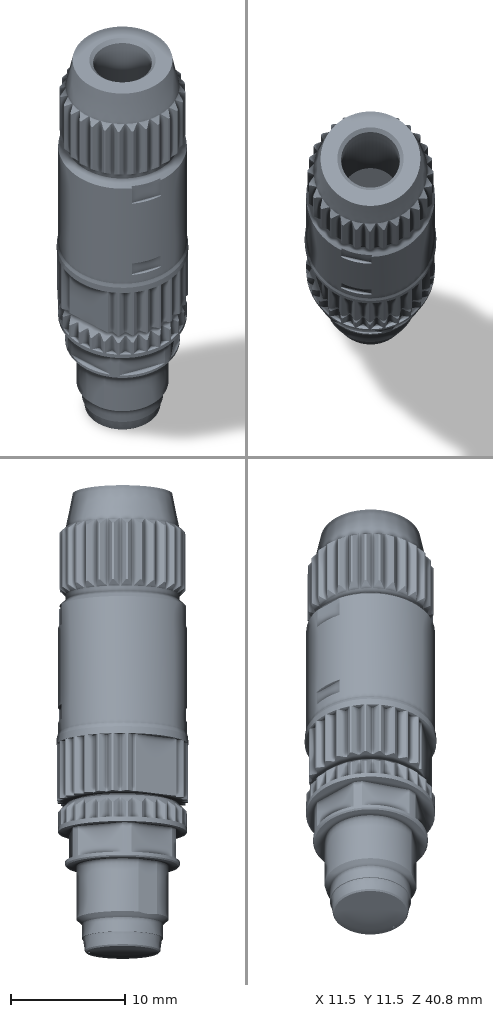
import cadquery as cq
import math

TOP_Z = 40.8
GRIP_TOP_Z = 37.8
GRIP_BOTTOM_Z = 31.8
NECK_BOTTOM_Z = 31.35
COLLAR_TOP_Z = 30.72
UPPER_SEAM_Z = 28.9
LOWER_SEAM_Z = 21.83
BODY_BOTTOM_Z = 19.5
FLANGE_BOTTOM_Z = 18.52
RING_BOTTOM_Z = 13.45
NUT_TOP_Z = 13.2
NUT_TEETH_BOTTOM_Z = 11.15
NUT_BOTTOM_Z = 10.75
HEX_BOTTOM_Z = 8.1
DISK_BOTTOM_Z = 7.7
BARREL_BOTTOM_Z = 3.0
TIP_TOP_Z = 2.55
TIP_STEP_Z = 1.3
TIP_BOTTOM_Z = 0.1

MOUTH_RADIUS = 4.35
NECK_RADIUS = 4.98
GRIP_RADIUS = 5.5
BODY_RADIUS = 5.65
RING_RADIUS = 5.75
INNER_NECK_RADIUS = 4.3
NUT_ROOT_RADIUS = 5.2
RING_ROOT_RADIUS = 5.25
DISK_RADIUS = 5.0
BARREL_RADIUS = 4.05
TIP_RADIUS = 3.55
TIP_CONE_RADIUS = 3.45
TIP_END_RADIUS = 3.3

GRIP_CHAMFER_HEIGHT = 0.5
FLANGE_CONE_HEIGHT = 0.35
NUT_CHAMFER = 0.75
DISK_CHAMFER = 0.12
TIP_CHAMFER = 0.12

TOOTH_COUNT = 28
TOOTH_LAND = 0.15
ROOT_LAND = 0.12
TOOTH_PHASE = 1.8

BORE_RADIUS = 2.55
BORE_CHAMFER = 0.33
BORE_DEPTH = TOP_Z - COLLAR_TOP_Z

RING_FLAT_DISTANCE = 5.0
BARREL_FLAT_DISTANCE = 3.9
HEX_FLAT_DISTANCE = 4.53

WINDOW_ANGLES = (-30, 150)
WINDOW_WIDTH = 2.75
WINDOW_FLOOR_DISTANCE = 5.35
WINDOW_OVERRUN = 0.12
UPPER_WINDOW_TOP_Z = COLLAR_TOP_Z + WINDOW_OVERRUN
LOWER_WINDOW_HEIGHT = 1.35

CLEARANCE = 0.4

NUB_X = 2.5
NUB_Y = -1.5
NUB_RADIUS = 0.1


def revolved(outline):
    """Solid of revolution about Z from (radius, height) points; both ends close on the axis."""
    closed = [(0, outline[0][1])] + outline + [(0, outline[-1][1])]
    return cq.Workplane("XZ").polyline(closed).close().revolve(360, (0, 0, 0), (0, 1, 0))


def toothed_prism(root_radius, tip_radius, bottom_z, top_z):
    """Prism with narrow tooth lands and roots; the first root lies at the tooth phase from +X."""
    pitch = 2 * math.pi / TOOTH_COUNT
    half_land = TOOTH_LAND / 2 / tip_radius
    half_root = ROOT_LAND / 2 / root_radius
    points = []
    for tooth in range(TOOTH_COUNT):
        root = tooth * pitch + math.radians(TOOTH_PHASE)
        tip = root + pitch / 2
        for radius, angle in (
            (root_radius, root - half_root),
            (root_radius, root + half_root),
            (tip_radius, tip - half_land),
            (tip_radius, tip + half_land),
        ):
            points.append((radius * math.cos(angle), radius * math.sin(angle)))
    base = cq.Workplane("XY").workplane(offset=bottom_z)
    return base.polyline(points).close().extrude(top_z - bottom_z)


def block_across_y(flat_distance, bottom_z, top_z):
    """Block that keeps what lies between two flats facing -Y and +Y."""
    height = top_z - bottom_z
    block = cq.Workplane("XY").box(2 * (RING_RADIUS + CLEARANCE), 2 * flat_distance, height)
    return block.translate((0, 0, (bottom_z + top_z) / 2))


def grip():
    """Knurled cable gland nut with chamfered tooth ends."""
    envelope = revolved([
        (NECK_RADIUS, GRIP_TOP_Z),
        (GRIP_RADIUS, GRIP_TOP_Z - GRIP_CHAMFER_HEIGHT),
        (GRIP_RADIUS, GRIP_BOTTOM_Z + GRIP_CHAMFER_HEIGHT),
        (NECK_RADIUS, GRIP_BOTTOM_Z),
    ])
    return envelope.intersect(toothed_prism(NECK_RADIUS, GRIP_RADIUS, GRIP_BOTTOM_Z, GRIP_TOP_Z))


def body():
    """Plain housing: mouth cone, neck, sleeve and flange."""
    return revolved([
        (MOUTH_RADIUS, TOP_Z),
        (NECK_RADIUS, GRIP_TOP_Z),
        (NECK_RADIUS, NECK_BOTTOM_Z),
        (BODY_RADIUS, COLLAR_TOP_Z),
        (BODY_RADIUS, BODY_BOTTOM_Z),
        (RING_RADIUS, BODY_BOTTOM_Z - FLANGE_CONE_HEIGHT),
        (RING_RADIUS, FLANGE_BOTTOM_Z),
    ])


def windows():
    """Shallow flat-floored recesses above and below the sleeve seams, on opposite sides."""
    spans = (
        (UPPER_SEAM_Z, UPPER_WINDOW_TOP_Z),
        (LOWER_SEAM_Z - LOWER_WINDOW_HEIGHT, LOWER_SEAM_Z),
    )
    depth = BODY_RADIUS - WINDOW_FLOOR_DISTANCE + CLEARANCE
    cutters = cq.Workplane("XY")
    for bottom_z, top_z in spans:
        center = (WINDOW_FLOOR_DISTANCE + depth / 2, 0, (bottom_z + top_z) / 2)
        cutter = cq.Workplane("XY").box(depth, WINDOW_WIDTH, top_z - bottom_z).translate(center)
        for angle in WINDOW_ANGLES:
            cutters = cutters.add(cutter.rotate((0, 0, 0), (0, 0, 1), angle))
    return cutters.combine()


def knurled_ring():
    """Toothed ring under the flange, with flats facing -Y and +Y."""
    ring = toothed_prism(RING_ROOT_RADIUS, RING_RADIUS, RING_BOTTOM_Z, FLANGE_BOTTOM_Z)
    return ring.intersect(block_across_y(RING_FLAT_DISTANCE, RING_BOTTOM_Z, FLANGE_BOTTOM_Z))


def coupling_nut():
    """Toothed nut with a chamfered upper edge, standing on a plain rim."""
    envelope = revolved([
        (BODY_RADIUS - NUT_CHAMFER, NUT_TOP_Z),
        (BODY_RADIUS, NUT_TOP_Z - NUT_CHAMFER),
        (BODY_RADIUS, NUT_TEETH_BOTTOM_Z),
    ])
    teeth = envelope.intersect(
        toothed_prism(NUT_ROOT_RADIUS, BODY_RADIUS, NUT_TEETH_BOTTOM_Z, NUT_TOP_Z)
    )
    rim = revolved([(BODY_RADIUS, NUT_TEETH_BOTTOM_Z), (BODY_RADIUS, NUT_BOTTOM_Z)])
    neck = revolved([(INNER_NECK_RADIUS, RING_BOTTOM_Z), (INNER_NECK_RADIUS, NUT_TOP_Z)])
    return teeth.union(rim).union(neck)


def hexagon():
    """Hexagon with flats facing -Y and +Y, its corners turned down to the disk below."""
    across_corners = 2 * HEX_FLAT_DISTANCE / math.cos(math.pi / 6)
    height = NUT_BOTTOM_Z - HEX_BOTTOM_Z
    base = cq.Workplane("XY").workplane(offset=HEX_BOTTOM_Z)
    turned = revolved([(DISK_RADIUS, NUT_BOTTOM_Z), (DISK_RADIUS, HEX_BOTTOM_Z)])
    return base.polygon(6, across_corners).extrude(height).intersect(turned)


def plug():
    """Disk, barrel with two side flats, and stepped tip with a small nub below."""
    disk = revolved([
        (DISK_RADIUS, HEX_BOTTOM_Z),
        (DISK_RADIUS, DISK_BOTTOM_Z + DISK_CHAMFER),
        (DISK_RADIUS - DISK_CHAMFER, DISK_BOTTOM_Z),
    ])
    barrel = revolved([
        (BARREL_RADIUS, DISK_BOTTOM_Z),
        (BARREL_RADIUS, BARREL_BOTTOM_Z),
        (TIP_RADIUS, TIP_TOP_Z),
    ])
    barrel = barrel.intersect(block_across_y(BARREL_FLAT_DISTANCE, TIP_TOP_Z, DISK_BOTTOM_Z))
    tip = revolved([
        (TIP_RADIUS, TIP_TOP_Z),
        (TIP_RADIUS, TIP_STEP_Z),
        (TIP_CONE_RADIUS, TIP_STEP_Z),
        (TIP_END_RADIUS, TIP_BOTTOM_Z + TIP_CHAMFER),
        (TIP_END_RADIUS - TIP_CHAMFER, TIP_BOTTOM_Z),
    ])
    nub_height = TIP_BOTTOM_Z + TIP_CHAMFER
    nub = cq.Workplane("XY").center(NUB_X, NUB_Y).circle(NUB_RADIUS).extrude(nub_height)
    return disk.union(barrel).union(tip).union(nub)


def cable_bore():
    """Blind bore from the cable end, with a chamfered mouth."""
    return revolved([
        (BORE_RADIUS + BORE_CHAMFER, TOP_Z),
        (BORE_RADIUS, TOP_Z - BORE_CHAMFER),
        (BORE_RADIUS, TOP_Z - BORE_DEPTH),
    ])


result = body().cut(windows())
for section in (grip(), knurled_ring(), coupling_nut(), hexagon(), plug()):
    result = result.union(section)
result = result.cut(cable_bore())